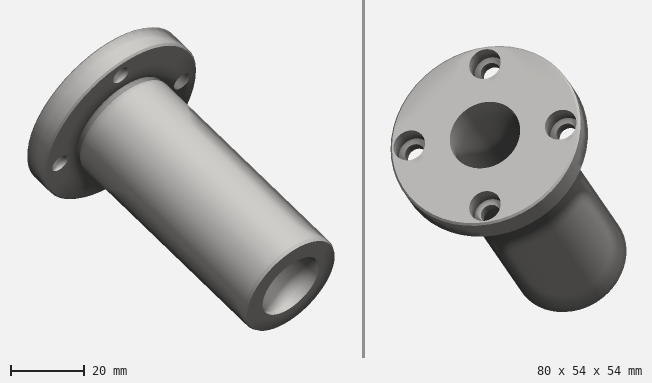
import cadquery as cq
import math

length = 80.0
bore_radius = 20.0 / 2

flange_radius = 54.0 / 2
flange_thickness = 8.0
flange_chamfer = 0.6

sleeve_radius = 32.0 / 2
end_chamfer_length = 1.0
end_chamfer_depth = 0.5

relief_width = 1.8
relief_depth = 0.5
relief_low_point = 0.7

hole_count = 4
bolt_circle_diameter = 43.0
hole_diameter = 5.5
counterbore_diameter = 9.0
counterbore_depth = 5.1


def make_body():
    """Revolve the half section (x along the axis, y as radius) about X."""
    sleeve_start = flange_thickness + relief_width
    low_x = flange_thickness + relief_low_point
    low_radius = sleeve_radius - relief_depth

    long_run = relief_width - relief_low_point
    arc_radius = (long_run**2 + relief_depth**2) / (2 * relief_depth)
    flange_side_rise = arc_radius - math.sqrt(arc_radius**2 - relief_low_point**2)

    section = (
        cq.Workplane("XY")
        .moveTo(0, bore_radius)
        .lineTo(0, flange_radius - flange_chamfer)
        .lineTo(flange_chamfer, flange_radius)
        .lineTo(flange_thickness - flange_chamfer, flange_radius)
        .lineTo(flange_thickness, flange_radius - flange_chamfer)
        .lineTo(flange_thickness, low_radius + flange_side_rise)
        .threePointArc((low_x, low_radius), (sleeve_start, sleeve_radius))
        .lineTo(length - end_chamfer_length, sleeve_radius)
        .lineTo(length, sleeve_radius - end_chamfer_depth)
        .lineTo(length, bore_radius)
        .close()
    )
    return section.revolve(360, (0, 0, 0), (1, 0, 0))


def cut_mounting_holes(body):
    """Counterbored holes sunk from the flange face, two on Y and two on Z."""
    return (
        body.faces("<X")
        .workplane(origin=(0, 0, 0))
        .polarArray(bolt_circle_diameter / 2, 0, 360, hole_count)
        .cboreHole(hole_diameter, counterbore_diameter, counterbore_depth, flange_thickness)
    )


result = cut_mounting_holes(make_body())